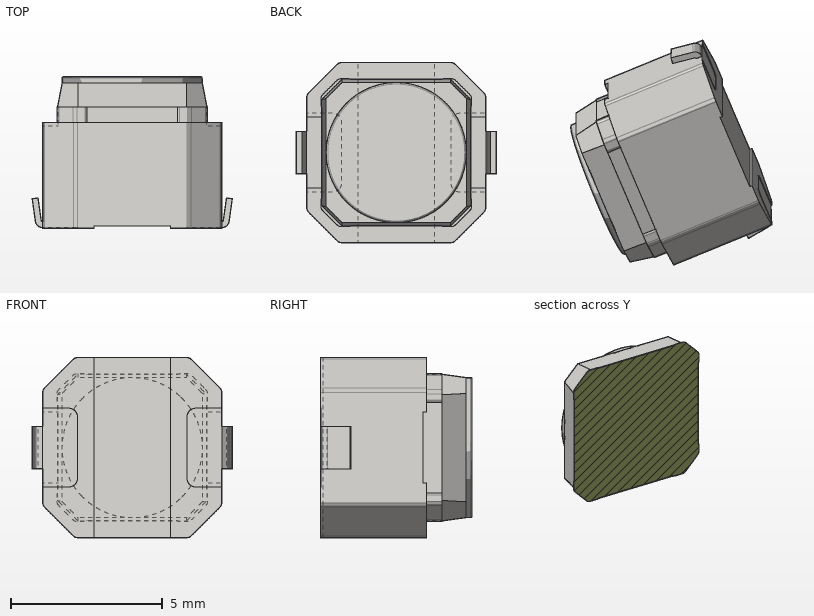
import cadquery as cq
import math

BODY_WIDTH = 5.9
BODY_HEIGHT = 5.94
BODY_DEPTH = 3.5
BODY_CHAMFER = 1.065
CORNER_RADIUS = 0.2

NECK_WIDTH = 4.96
NECK_HEIGHT = 4.87
NECK_LENGTH = 0.5
NECK_CHAMFER = 0.58
NECK_RECESS_WIDTH = 2.98
NECK_RECESS_DEPTH = 0.03
NECK_RECESS_EDGE_RADIUS = 0.1

TAPER_BASE_WIDTH = 4.93
TAPER_BASE_HEIGHT = 4.84
TAPER_BASE_CHAMFER = 0.68
TAPER_LENGTH = 0.8
TAPER_TOP_CHAMFER = 0.525

DISC_DIAMETER = 4.62
DISC_EDGE_RADIUS = 0.05
OVERALL_DEPTH = 5.0

GROOVE_WIDTH = 2.52
GROOVE_DEPTH = 0.08

NOTCH_WIDTH = 2.34
NOTCH_DEPTH = 0.12

POCKET_SPACING = 3.6
POCKET_HEIGHT = 2.6
POCKET_DEPTH = 0.025
POCKET_CORNER_RADIUS = 0.3

OVERALL_WIDTH = 6.6
LEAD_HEIGHT = 1.4
LEAD_THICKNESS = 0.2
LEAD_INNER_RADIUS = 0.05
LEAD_REACH = 1.01
LEAD_LEAN = math.radians(8)
LEAD_ROOT_DEPTH = 0.5

QUARTER_TURN = 90

NECK_END = BODY_DEPTH + NECK_LENGTH
TAPER_END = NECK_END + TAPER_LENGTH


def depth_plane(y):
    """Plane facing +Y at the given depth; its local axes are -X and +Z."""
    return cq.Plane(origin=(0, y, 0), xDir=(-1, 0, 0), normal=(0, 1, 0))


def octagon_points(width, height, chamfer):
    """Corners of a rectangle with its four corners cut at 45 degrees."""
    half_w = width / 2
    half_h = height / 2
    flat_w = half_w - chamfer
    flat_h = half_h - chamfer
    return [
        (half_w, -flat_h), (half_w, flat_h), (flat_w, half_h), (-flat_w, half_h),
        (-half_w, flat_h), (-half_w, -flat_h), (-flat_w, -half_h), (flat_w, -half_h),
    ]


def rounded_octagon(y, width, height, chamfer, length):
    """Octagonal prism along +Y with rounded lengthwise edges."""
    outline = octagon_points(width, height, chamfer)
    prism = cq.Workplane(depth_plane(y)).polyline(outline).close().extrude(length)
    return prism.edges("|Y").fillet(CORNER_RADIUS)


def box_between(x_range, y_range, z_range):
    """Axis-aligned box from its limits on each axis."""
    sizes = [high - low for low, high in (x_range, y_range, z_range)]
    corner = (x_range[0], y_range[0], z_range[0])
    return cq.Workplane("XY").box(*sizes, centered=False).translate(corner)


def make_neck_recess(face_distance):
    """Cutter for a shallow recess in the neck's +X side, whose face lies at X = face_distance."""
    floor = face_distance - NECK_RECESS_DEPTH
    end_angle = math.acos(1 - NECK_RECESS_DEPTH / NECK_RECESS_EDGE_RADIUS)

    def on_edge(angle, side):
        inset = NECK_RECESS_EDGE_RADIUS * (1 - math.cos(angle))
        spread = NECK_RECESS_EDGE_RADIUS * (math.sin(end_angle) - math.sin(angle))
        return (face_distance - inset, side * (NECK_RECESS_WIDTH / 2 + spread))

    return (
        cq.Workplane("XZ", origin=(0, NECK_END, 0))
        .moveTo(floor, -NECK_RECESS_WIDTH / 2)
        .lineTo(floor, NECK_RECESS_WIDTH / 2)
        .threePointArc(on_edge(end_angle / 2, 1), on_edge(0, 1))
        .lineTo(*on_edge(0, -1))
        .threePointArc(on_edge(end_angle / 2, -1), on_edge(end_angle, -1))
        .close()
        .extrude(NECK_LENGTH)
    )


def make_neck():
    """Neck with a shallow round-edged recess in the middle of each of its four sides."""
    neck = rounded_octagon(BODY_DEPTH, NECK_WIDTH, NECK_HEIGHT, NECK_CHAMFER, NECK_LENGTH)
    for turn in range(4):
        face_distance = (NECK_WIDTH, NECK_HEIGHT)[turn % 2] / 2
        recess = make_neck_recess(face_distance).rotate((0, 0, 0), (0, 1, 0), QUARTER_TURN * turn)
        neck = neck.cut(recess)
    return neck


def make_taper():
    """Octagonal section narrowing from the neck to the disc."""
    base = octagon_points(TAPER_BASE_WIDTH, TAPER_BASE_HEIGHT, TAPER_BASE_CHAMFER)
    top = octagon_points(DISC_DIAMETER, DISC_DIAMETER, TAPER_TOP_CHAMFER)
    return (
        cq.Workplane(depth_plane(NECK_END))
        .polyline(base).close()
        .workplane(offset=TAPER_LENGTH)
        .polyline(top).close()
        .loft(ruled=True)
    )


def make_disc():
    """Round end disc with a softened outer rim."""
    disc = cq.Workplane(depth_plane(TAPER_END)).circle(DISC_DIAMETER / 2).extrude(OVERALL_DEPTH - TAPER_END)
    return disc.faces(">Y").edges().fillet(DISC_EDGE_RADIUS)


def make_groove():
    """Full-height channel across the middle of the mounting face."""
    half_width = GROOVE_WIDTH / 2
    half_height = BODY_HEIGHT / 2
    return box_between((-half_width, half_width), (0, GROOVE_DEPTH), (-half_height, half_height))


def make_right_notch():
    """Shallow step in the body's +X rim, reaching inward to the neck."""
    half_width = NOTCH_WIDTH / 2
    return box_between(
        (NECK_WIDTH / 2 - NECK_RECESS_DEPTH, BODY_WIDTH / 2),
        (BODY_DEPTH - NOTCH_DEPTH, BODY_DEPTH),
        (-half_width, half_width),
    )


def make_right_pocket():
    """Shallow pocket in the mounting face, open at the +X side, where the lead emerges."""
    half_height = POCKET_HEIGHT / 2
    pocket = box_between(
        (POCKET_SPACING / 2, BODY_WIDTH / 2), (0, POCKET_DEPTH), (-half_height, half_height)
    )
    return pocket.edges("|Y and <X").fillet(POCKET_CORNER_RADIUS)


def make_right_lead():
    """Bent strip lead: flat root, tight bend at the body side, then a leaning tail."""
    outer_radius = LEAD_INNER_RADIUS + LEAD_THICKNESS
    sin_lean = math.sin(LEAD_LEAN)
    cos_lean = math.cos(LEAD_LEAN)
    center_y = POCKET_DEPTH + outer_radius
    tail = (LEAD_REACH - center_y + LEAD_INNER_RADIUS * sin_lean) / cos_lean
    center_x = OVERALL_WIDTH / 2 - outer_radius * cos_lean - tail * sin_lean
    root_x = center_x - LEAD_ROOT_DEPTH
    mid_angle = -(math.pi / 2 + LEAD_LEAN) / 2

    def on_bend(radius, angle):
        return (center_x + radius * math.cos(angle), center_y + radius * math.sin(angle))

    def tail_end(radius):
        x, y = on_bend(radius, -LEAD_LEAN)
        return (x + tail * sin_lean, y + tail * cos_lean)

    return (
        cq.Workplane("XY", origin=(0, 0, -LEAD_HEIGHT / 2))
        .moveTo(root_x, POCKET_DEPTH)
        .lineTo(center_x, POCKET_DEPTH)
        .threePointArc(on_bend(outer_radius, mid_angle), on_bend(outer_radius, -LEAD_LEAN))
        .lineTo(*tail_end(outer_radius))
        .lineTo(*tail_end(LEAD_INNER_RADIUS))
        .lineTo(*on_bend(LEAD_INNER_RADIUS, -LEAD_LEAN))
        .threePointArc(
            on_bend(LEAD_INNER_RADIUS, mid_angle), on_bend(LEAD_INNER_RADIUS, -math.pi / 2)
        )
        .lineTo(root_x, POCKET_DEPTH + LEAD_THICKNESS)
        .close()
        .extrude(LEAD_HEIGHT)
    )


def both_sides(right_feature):
    """The given +X feature together with its mirror image on the -X side."""
    return right_feature, right_feature.mirror("YZ")


part = rounded_octagon(0, BODY_WIDTH, BODY_HEIGHT, BODY_CHAMFER, BODY_DEPTH)
part = part.union(make_neck()).union(make_taper()).union(make_disc())
part = part.cut(make_groove())
for feature in (make_right_notch(), make_right_pocket()):
    for cutter in both_sides(feature):
        part = part.cut(cutter)
for lead in both_sides(make_right_lead()):
    part = part.union(lead)

result = part